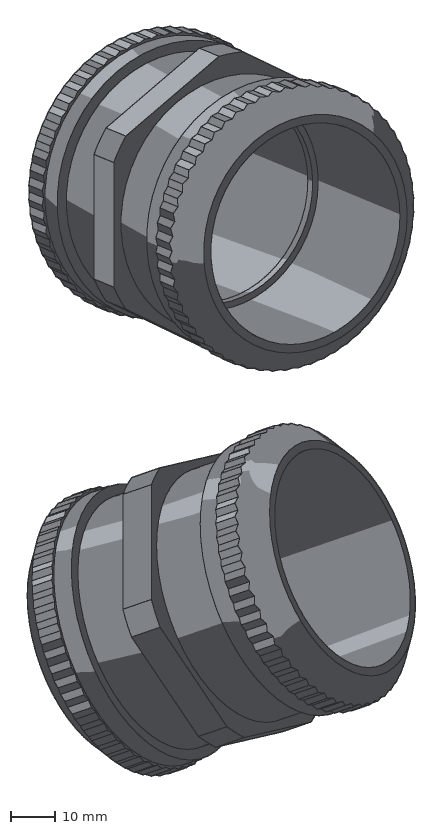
import cadquery as cq
import math

length = 68.2
half_length = length / 2

body_radius = 60.0 / 2
bore_radius = 51.5 / 2
stop_bore_radius = 48.5 / 2
stop_width = 2.0

hex_width = 8.0
hex_across_flats = 64.0
hex_corner_radius = 35.2

nut_length = 16.0
knurl_end = 11.05
collar_radius = 65.0 / 2
knurl_tip_radius = 33.35
knurl_root_radius = 32.85
end_face_radius = 27.7
tooth_count = 60


def cylinder(radius, start, end):
    """Solid cylinder along X between two stations."""
    return cq.Workplane("YZ", origin=(start, 0, 0)).circle(radius).extrude(end - start)


def make_hexagon():
    """Hexagon with corners towards +Z and -Z, its corners turned round."""
    across_corners = hex_across_flats / math.cos(math.pi / 6)
    prism = (
        cq.Workplane("YZ", origin=(-hex_width / 2, 0, 0))
        .transformed(rotate=(0, 0, 90))
        .polygon(6, across_corners)
        .extrude(hex_width)
    )
    return prism.intersect(cylinder(hex_corner_radius, -hex_width / 2, hex_width / 2))


def make_knurl():
    """Ring of V-shaped teeth, reaching out to the end face, with roots on the Y and Z axes."""
    half_pitch = math.pi / tooth_count
    points = []
    for step in range(2 * tooth_count):
        radius = knurl_root_radius if step % 2 == 0 else knurl_tip_radius
        angle = step * half_pitch
        points.append((radius * math.cos(angle), radius * math.sin(angle)))
    return cq.Workplane("YZ", origin=(-half_length, 0, 0)).polyline(points).close().extrude(knurl_end)


def make_left_nut():
    """Nut at the -X end: knurl trimmed by a 45 degree cone, then a plain collar."""
    cone = (
        cq.Workplane("XY")
        .moveTo(-half_length, 0)
        .lineTo(-half_length, end_face_radius)
        .lineTo(-half_length + knurl_end, end_face_radius + knurl_end)
        .lineTo(-half_length + knurl_end, 0)
        .close()
        .revolve(360, (0, 0, 0), (1, 0, 0))
    )
    collar = cylinder(collar_radius, -half_length + knurl_end, -half_length + nut_length)
    return make_knurl().intersect(cone).union(collar)


left_nut = make_left_nut()
outside = (
    cylinder(body_radius, -half_length + knurl_end, half_length - knurl_end)
    .union(make_hexagon())
    .union(left_nut)
    .union(left_nut.mirror("YZ"))
)

result = (
    outside
    .cut(cylinder(stop_bore_radius, -half_length, half_length))
    .cut(cylinder(bore_radius, -half_length, -stop_width / 2))
    .cut(cylinder(bore_radius, stop_width / 2, half_length))
)